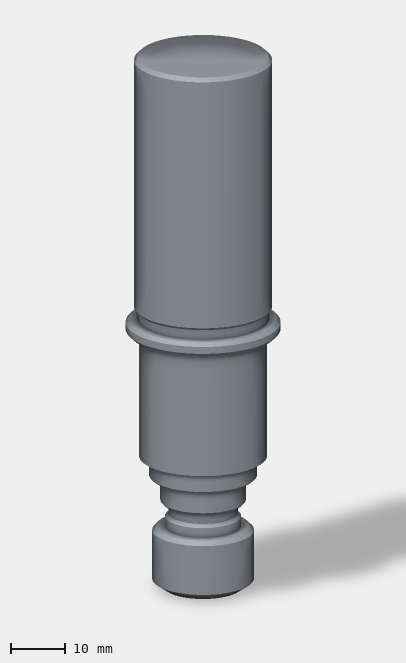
import cadquery as cq

BODY_DIA = 25.4
RELIEF_DIA = 24.3
FLANGE_DIA = 28.5
SHANK_DIA = 23.5
SHOULDER_DIA = 19.8
NECK_DIA = 15.7
GROOVE_DIA = 12.7
COLLAR_DIA = 14.0
FOOT_DIA = 18.7

TOTAL_HEIGHT = 102.7
BODY_BOTTOM = 53.8
FLANGE_TOP = 52.0
FLANGE_BOTTOM = 49.2
SHANK_BOTTOM = 25.4
SHOULDER_BOTTOM = 21.4
NECK_BOTTOM = 16.1
COLLAR_TOP = 14.3
FOOT_TOP = 11.8

EDGE_CHAMFER = 0.7
SMALL_CHAMFER = 0.3
FOOT_TOP_CHAMFER = 0.8
FOOT_CHAMFER_WIDTH = 2.2
FOOT_CHAMFER_HEIGHT = 1.5
BODY_BOTTOM_CHAMFER = (BODY_DIA - RELIEF_DIA) / 2
COLLAR_CHAMFER = (COLLAR_DIA - GROOVE_DIA) / 2


def section(diameter, bottom, top):
    """Plain round section on the Z axis between two heights."""
    return cq.Workplane("XY").workplane(offset=bottom).circle(diameter / 2).extrude(top - bottom)


body = section(BODY_DIA, BODY_BOTTOM, TOTAL_HEIGHT)
body = body.faces(">Z").chamfer(EDGE_CHAMFER)
body = body.faces("<Z").chamfer(BODY_BOTTOM_CHAMFER)

relief = section(RELIEF_DIA, FLANGE_TOP, BODY_BOTTOM)

flange = section(FLANGE_DIA, FLANGE_BOTTOM, FLANGE_TOP)
flange = flange.faces("<Z or >Z").chamfer(EDGE_CHAMFER)

shank = section(SHANK_DIA, SHANK_BOTTOM, FLANGE_BOTTOM)

shoulder = section(SHOULDER_DIA, SHOULDER_BOTTOM, SHANK_BOTTOM)
shoulder = shoulder.faces("<Z").chamfer(SMALL_CHAMFER)

neck = section(NECK_DIA, NECK_BOTTOM, SHOULDER_BOTTOM)
neck = neck.faces("<Z").chamfer(EDGE_CHAMFER)

groove = section(GROOVE_DIA, COLLAR_TOP, NECK_BOTTOM)

collar = section(COLLAR_DIA, FOOT_TOP, COLLAR_TOP)
collar = collar.faces(">Z").chamfer(COLLAR_CHAMFER)

foot_profile = [
    (0, 0),
    (FOOT_DIA / 2 - FOOT_CHAMFER_WIDTH, 0),
    (FOOT_DIA / 2, FOOT_CHAMFER_HEIGHT),
    (FOOT_DIA / 2, FOOT_TOP - FOOT_TOP_CHAMFER),
    (FOOT_DIA / 2 - FOOT_TOP_CHAMFER, FOOT_TOP),
    (0, FOOT_TOP),
]
foot = cq.Workplane("XZ").polyline(foot_profile).close().revolve(360, (0, 0), (0, 1))

result = foot
for piece in (collar, groove, neck, shoulder, shank, flange, relief, body):
    result = result.union(piece)